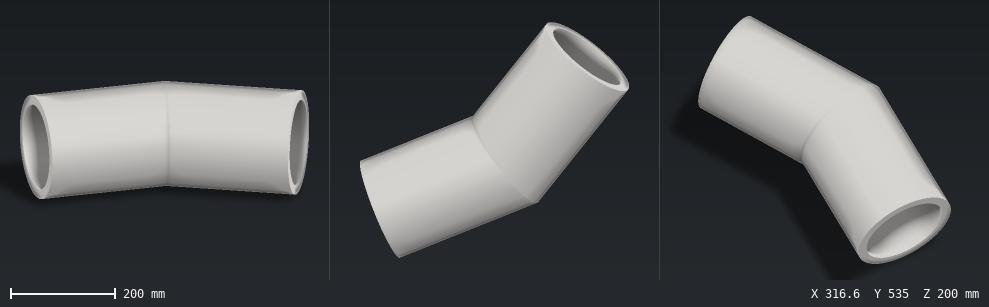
import cadquery as cq
import math

overall_length = 535.0
outer_diameter = 200.0
inner_diameter = 164.0
bend_angle = math.radians(30.0)

rim_overhang = outer_diameter / 2 * math.sin(bend_angle)
leg_length = (overall_length - rim_overhang) / (1 + math.cos(bend_angle))

mitre_point = (0, leg_length)
end_point = (
    leg_length * math.sin(bend_angle),
    leg_length * (1 + math.cos(bend_angle)),
)
centreline = cq.Workplane("XY").polyline([(0, 0), mitre_point, end_point])


pipe_section = cq.Workplane("XZ").circle(outer_diameter / 2).circle(inner_diameter / 2)
result = pipe_section.sweep(centreline, transition="right")